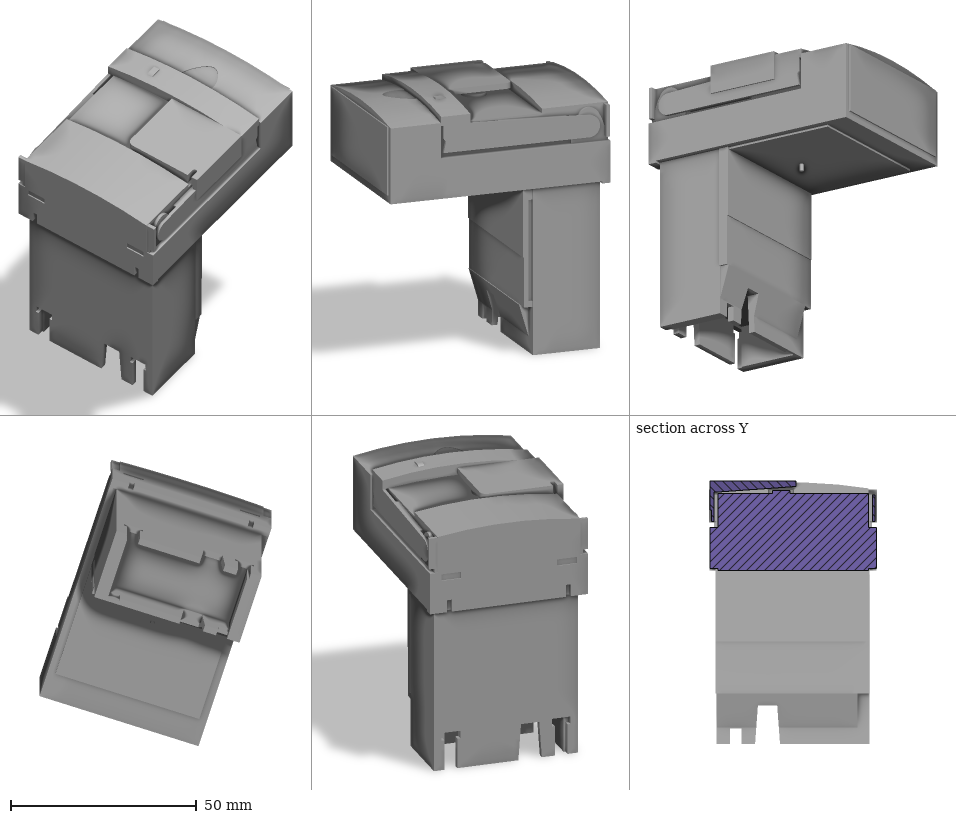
import cadquery as cq
import math


HEAD_HALF_WIDTH = 22.5
HEAD_DEPTH = 63.6
HEAD_BOTTOM = 47.3
LEDGE_Z = 58.5
CORE_HALF_WIDTH = 20.4
DECK_Z = 67.7
REAR_BLOCK_START = 49.1
REAR_EDGE_Z = 68.6
REAR_CROWN_Z = 70.7
CAP_DEPTH = 19.1
CAP_EDGE_Z = 68.9
CAP_CROWN_Z = 70.5

BACK_PLATE_HALF_WIDTH = 21.1
BACK_PLATE_THICKNESS = 0.4
BACK_PLATE_BOTTOM = 49.5
BACK_PLATE_TOP = 68.6

FLOOR_THICKNESS = 0.6
FLOOR_HALF_WIDTH = 20.4
FLOOR_END = 56.3
LIP_DEPTH = 2.4

EAR_OVERHANG = 0.15
EAR_SETBACK = 0.2
EAR_BACK = 1.2
EAR_BOTTOM = 59.7
EAR_FOOT_HALF_WIDTH = 21.2

SLOT_CENTRE_X = 16.505
SLOT_WIDTH = 5.55
SLOT_HEIGHT = 1.9
SLOT_BOTTOM = 56.05
SLOT_DEPTH = 0.35
NICK_CENTRE_X = 17.0
NICK_WIDTH = 1.45
NICK_TOP = 50.2
NICK_DEPTH = 1.45

THUMB_LEFT = -4.6
THUMB_RIGHT = 5.1
THUMB_BULGE_X = 5.4
THUMB_BULGE_Y = 51.35
THUMB_TIP_X = 1.5
THUMB_TIP_Y = 56.55
THUMB_FLANK_X = -2.25
THUMB_FLANK_Y = 54.0
THUMB_DEPTH = 0.2

KNOB_X = 3.25
KNOB_Y = 29.6
KNOB_RADIUS = 3.5
KNOB_HEIGHT = 0.7
PIN_Y = 34.6
PIN_RADIUS = 0.6
PIN_END = 44.8

LEG_HALF_WIDTH = 20.6
LEG_FRONT = 2.4
LEG_BACK = 21.75
CAVITY_HALF_WIDTH = 17.05
CAVITY_HEIGHT = 11.55
LEG_WALL = 1.7
WEDGE_LEFT = -20.45
WEDGE_RIGHT = 20.95
WEDGE_FOOT_LEFT = -17.3
WEDGE_FOOT_RIGHT = 20.45
WEDGE_BACK = 24.5
WEDGE_WAIST = 24.2
WEDGE_STEP_Z = 27.7
WEDGE_KNEE_Z = 13.6
WEDGE_FOOT_Z = 4.4
GROOVE_BACK = 23.0
GROOVE_BOTTOM = 15.2
GROOVE_TOP = 43.7
GROOVE_DEPTH = 0.7

TEE_HALF_SPACING = 15.75
TEE_WIDTH = 5.35
TEE_STEM_WIDTH = 3.7
TEE_TOP = 10.75
TEE_SHOULDER_Z = 8.6
BACK_NOTCH_TOP = 4.1
GATE_CENTRE_X = 6.85
GATE_TOP_WIDTH = 5.2
GATE_FOOT_WIDTH = 6.7
GATE_TOP = 10.4

BOSS_FRONT = 0.8
BOSS_BACK = 11.0
BOSS_FLANK_Y = 1.5
BOSS_FLANK_Z = 63.3
BOSS_NECK_Y = 3.0
BOSS_NECK_Z = 66.5
BOSS_PEAK_Y = 5.7
BOSS_PEAK_Z = 68.1
BOSS_REAR_Y = 8.7
BOSS_REAR_Z = 66.4
ARM_INNER = 21.2

PIVOT_Y = 6.0
PIVOT_Z = 63.05
ARM_RADIUS = 3.1
COVER_HALF_WIDTH = 22.1
BAND_FRONT = 40.4
BAND_BACK = 48.8
BAND_EDGE_Z = 70.2
BAND_CROWN_Z = 72.2
ARCH_CROWN_Z = 69.1
PAD_FRONT = 12.3
PAD_BACK = 31.9
ARM_BACK = 48.1
ARM_NECK = 47.6
ARM_BOTTOM = PIVOT_Z - ARM_RADIUS
ARM_SHOULDER_Z = 67.5
ARM_CATCH_Z = 63.2
CATCH_HEIGHT = 0.7

PLATE_LEFT = -0.8
PLATE_FRONT = 20.0
PLATE_TOP = 71.1
PLATE_EDGE_THICKNESS = 1.65
PLATE_ROOT_Z = 67.9
PLATE_CORNER_RADIUS = 1.9
FLANGE_INNER = 20.7
NOTCH_WIDTH = 1.3
NOTCH_LENGTH = 2.9

SLIDER_X = -10.1
SLIDER_WIDTH = 1.7
SLIDER_FRONT = 42.55
SLIDER_RIDGE = 44.4
SLIDER_BACK = 46.15
SLIDER_TOP = 72.2
SLIDER_BASE = 71.5


def box(x0, x1, y0, y1, z0, z1):
    return cq.Workplane("XY").box(x1 - x0, y1 - y0, z1 - z0, centered=False).translate((x0, y0, z0))


def along_y(sketch, y0, y1):
    """Extrude an XZ outline from y0 to y1."""
    return sketch.extrude(-(y1 - y0)).translate((0, y0, 0))


def along_x(sketch, x0, x1):
    """Extrude a YZ outline from x0 to x1."""
    return sketch.extrude(x1 - x0).translate((x0, 0, 0))


def crowned_block(half_width, y0, y1, z0, edge_z, crown_z):
    outline = (
        cq.Workplane("XZ")
        .moveTo(-half_width, z0)
        .lineTo(half_width, z0)
        .lineTo(half_width, edge_z)
        .threePointArc((0, crown_z), (-half_width, edge_z))
        .close()
    )
    return along_y(outline, y0, y1)


def thumb_recess():
    block = crowned_block(
        HEAD_HALF_WIDTH, REAR_BLOCK_START, HEAD_DEPTH, HEAD_BOTTOM,
        REAR_EDGE_Z - THUMB_DEPTH, REAR_CROWN_Z - THUMB_DEPTH,
    )
    column = (
        cq.Workplane("XY")
        .workplane(offset=LEDGE_Z)
        .moveTo(THUMB_LEFT, REAR_BLOCK_START)
        .spline([
            (THUMB_FLANK_X, THUMB_FLANK_Y),
            (THUMB_TIP_X, THUMB_TIP_Y),
            (THUMB_BULGE_X, THUMB_BULGE_Y),
            (THUMB_RIGHT, REAR_BLOCK_START),
        ], includeCurrent=True)
        .close()
        .extrude(REAR_CROWN_Z - LEDGE_Z)
    )
    return column.cut(block)


def make_ear(side):
    outer = HEAD_HALF_WIDTH + EAR_OVERHANG
    ear = box(CORE_HALF_WIDTH, outer, EAR_SETBACK, EAR_BACK, EAR_BOTTOM, REAR_EDGE_Z)
    foot = box(CORE_HALF_WIDTH, EAR_FOOT_HALF_WIDTH, EAR_SETBACK, EAR_BACK, LEDGE_Z, EAR_BOTTOM)
    ear = ear.union(foot)
    return ear if side > 0 else ear.mirror("YZ")


def make_hinge_boss(side):
    outline = (
        cq.Workplane("YZ")
        .moveTo(BOSS_BACK, LEDGE_Z)
        .lineTo(BOSS_FRONT, LEDGE_Z)
        .threePointArc((BOSS_FLANK_Y, BOSS_FLANK_Z), (BOSS_NECK_Y, BOSS_NECK_Z))
        .threePointArc((BOSS_PEAK_Y, BOSS_PEAK_Z), (BOSS_REAR_Y, BOSS_REAR_Z))
        .lineTo(BOSS_BACK, PIVOT_Z)
        .close()
    )
    boss = along_x(outline, CORE_HALF_WIDTH, ARM_INNER)
    return boss if side > 0 else boss.mirror("YZ")


def make_head():
    head = box(-HEAD_HALF_WIDTH, HEAD_HALF_WIDTH, 0, HEAD_DEPTH, HEAD_BOTTOM, LEDGE_Z)
    head = head.union(box(-CORE_HALF_WIDTH, CORE_HALF_WIDTH, 0, REAR_BLOCK_START, LEDGE_Z, DECK_Z))
    head = head.union(crowned_block(CORE_HALF_WIDTH, 0, CAP_DEPTH, LEDGE_Z, CAP_EDGE_Z, CAP_CROWN_Z))
    head = head.union(crowned_block(
        HEAD_HALF_WIDTH, REAR_BLOCK_START, HEAD_DEPTH, HEAD_BOTTOM, REAR_EDGE_Z, REAR_CROWN_Z,
    ))
    head = head.cut(thumb_recess())

    head = head.union(box(
        -BACK_PLATE_HALF_WIDTH, BACK_PLATE_HALF_WIDTH, HEAD_DEPTH, HEAD_DEPTH + BACK_PLATE_THICKNESS,
        BACK_PLATE_BOTTOM, BACK_PLATE_TOP,
    ))
    floor_z = HEAD_BOTTOM - FLOOR_THICKNESS
    head = head.union(box(-FLOOR_HALF_WIDTH, FLOOR_HALF_WIDTH, 0, FLOOR_END, floor_z, HEAD_BOTTOM))
    head = head.union(box(-HEAD_HALF_WIDTH, HEAD_HALF_WIDTH, 0, LIP_DEPTH, floor_z, HEAD_BOTTOM))

    knob = cq.Workplane("XY").center(KNOB_X, KNOB_Y).circle(KNOB_RADIUS).extrude(KNOB_HEIGHT)
    head = head.union(knob.translate((0, 0, DECK_Z)))
    pin = cq.Workplane("XY").center(0, PIN_Y).circle(PIN_RADIUS).extrude(HEAD_BOTTOM - PIN_END)
    head = head.union(pin.translate((0, 0, PIN_END)))

    for side in (-1, 1):
        head = head.union(make_ear(side)).union(make_hinge_boss(side))
        slot_x = side * SLOT_CENTRE_X
        head = head.cut(box(
            slot_x - SLOT_WIDTH / 2, slot_x + SLOT_WIDTH / 2, 0, SLOT_DEPTH,
            SLOT_BOTTOM, SLOT_BOTTOM + SLOT_HEIGHT,
        ))
        nick_x = side * NICK_CENTRE_X
        head = head.cut(box(
            nick_x - NICK_WIDTH / 2, nick_x + NICK_WIDTH / 2, 0, NICK_DEPTH, floor_z, NICK_TOP,
        ))
    return head


def make_wedge():
    outline = cq.Workplane("YZ").polyline([
        (LEG_BACK, HEAD_BOTTOM),
        (WEDGE_BACK, HEAD_BOTTOM),
        (WEDGE_BACK, WEDGE_STEP_Z),
        (WEDGE_WAIST, WEDGE_STEP_Z),
        (WEDGE_WAIST, WEDGE_KNEE_Z),
        (LEG_BACK, WEDGE_KNEE_Z),
    ]).close()
    wedge = along_x(outline, WEDGE_LEFT, WEDGE_RIGHT)
    foot_outline = cq.Workplane("YZ").polyline([
        (LEG_BACK, WEDGE_KNEE_Z),
        (WEDGE_BACK, WEDGE_KNEE_Z),
        (LEG_BACK, WEDGE_FOOT_Z),
    ]).close()
    wedge = wedge.union(along_x(foot_outline, WEDGE_FOOT_LEFT, WEDGE_FOOT_RIGHT))
    return wedge.cut(box(
        WEDGE_LEFT, WEDGE_LEFT + GROOVE_DEPTH, LEG_BACK, GROOVE_BACK, GROOVE_BOTTOM, GROOVE_TOP,
    ))


def make_leg():
    leg = box(-LEG_HALF_WIDTH, LEG_HALF_WIDTH, LEG_FRONT, LEG_BACK, 0, HEAD_BOTTOM)
    leg = leg.union(make_wedge())

    cavity_front = LEG_FRONT + LEG_WALL
    cavity_back = LEG_BACK - LEG_WALL
    leg = leg.cut(box(
        -CAVITY_HALF_WIDTH, CAVITY_HALF_WIDTH, cavity_front, cavity_back, 0, CAVITY_HEIGHT,
    ))

    stem = TEE_STEM_WIDTH / 2
    for side in (-1, 1):
        x = side * TEE_HALF_SPACING
        leg = leg.cut(box(
            x - TEE_WIDTH / 2, x + TEE_WIDTH / 2, LEG_FRONT, cavity_front, TEE_SHOULDER_Z, TEE_TOP,
        ))
        leg = leg.cut(box(x - stem, x + stem, LEG_FRONT, cavity_front, 0, TEE_SHOULDER_Z))
    back_notch_start = TEE_HALF_SPACING - stem
    leg = leg.cut(box(back_notch_start, CAVITY_HALF_WIDTH, cavity_back, LEG_BACK, 0, BACK_NOTCH_TOP))
    leg = leg.cut(box(
        -CAVITY_HALF_WIDTH, -back_notch_start, cavity_back, cavity_back + LEG_WALL / 2, 0, BACK_NOTCH_TOP,
    ))

    gate = cq.Workplane("XZ").polyline([
        (GATE_CENTRE_X - GATE_FOOT_WIDTH / 2, 0),
        (GATE_CENTRE_X + GATE_FOOT_WIDTH / 2, 0),
        (GATE_CENTRE_X + GATE_TOP_WIDTH / 2, GATE_TOP),
        (GATE_CENTRE_X - GATE_TOP_WIDTH / 2, GATE_TOP),
    ]).close()
    return leg.cut(along_y(gate, LEG_FRONT, WEDGE_BACK))


def make_arm(side):
    """Side arm with a round hinge end, its top edge tangent to that round."""
    reach = math.hypot(BAND_FRONT - PIVOT_Y, ARM_SHOULDER_Z - PIVOT_Z)
    rise = math.atan2(ARM_SHOULDER_Z - PIVOT_Z, BAND_FRONT - PIVOT_Y)
    tangent = rise + math.acos(ARM_RADIUS / reach)
    tangent_y = PIVOT_Y + ARM_RADIUS * math.cos(tangent)
    tangent_z = PIVOT_Z + ARM_RADIUS * math.sin(tangent)
    outline = (
        cq.Workplane("YZ")
        .moveTo(PIVOT_Y, ARM_BOTTOM)
        .lineTo(ARM_BACK, ARM_BOTTOM)
        .lineTo(ARM_NECK, ARM_CATCH_Z - CATCH_HEIGHT)
        .lineTo(ARM_NECK, ARM_CATCH_Z)
        .lineTo(ARM_BACK, ARM_CATCH_Z + CATCH_HEIGHT)
        .lineTo(ARM_BACK, BAND_EDGE_Z)
        .lineTo(BAND_FRONT, BAND_EDGE_Z)
        .lineTo(BAND_FRONT, ARM_SHOULDER_Z)
        .lineTo(tangent_y, tangent_z)
        .threePointArc((PIVOT_Y - ARM_RADIUS, PIVOT_Z), (PIVOT_Y, ARM_BOTTOM))
        .close()
    )
    arm = along_x(outline, CORE_HALF_WIDTH, COVER_HALF_WIDTH)
    for relief_start, relief_end in ((0, PAD_FRONT), (PAD_BACK, ARM_BACK)):
        arm = arm.cut(box(
            CORE_HALF_WIDTH, ARM_INNER, relief_start, relief_end, ARM_BOTTOM, BAND_EDGE_Z,
        ))
    return arm if side > 0 else arm.mirror("YZ")


def make_plate():
    """Raised plate with a sloping underside, a front notch and a flange down to the right arm."""
    outline = cq.Workplane("XZ").polyline([
        (PLATE_LEFT, PLATE_TOP - PLATE_EDGE_THICKNESS),
        (PLATE_LEFT, PLATE_TOP),
        (HEAD_HALF_WIDTH, PLATE_TOP),
        (HEAD_HALF_WIDTH, PLATE_ROOT_Z),
        (FLANGE_INNER, PLATE_ROOT_Z),
    ]).close()
    plate = along_y(outline, PLATE_FRONT, BAND_FRONT)
    plate = plate.edges("|Z and <X and <Y").fillet(PLATE_CORNER_RADIUS)

    radius = NOTCH_WIDTH / 2
    notch_x = FLANGE_INNER - radius
    notch_end = PLATE_FRONT + NOTCH_LENGTH - radius
    height = PLATE_TOP - DECK_Z
    notch = box(FLANGE_INNER - NOTCH_WIDTH, FLANGE_INNER, PLATE_FRONT, notch_end, DECK_Z, PLATE_TOP)
    rounded_end = cq.Workplane("XY").center(notch_x, notch_end).circle(radius).extrude(height)
    plate = plate.cut(notch).cut(rounded_end.translate((0, 0, DECK_Z)))
    return plate.union(box(ARM_INNER, HEAD_HALF_WIDTH, PLATE_FRONT, BAND_FRONT, PIVOT_Z, PLATE_TOP))


def make_slider():
    outline = (
        cq.Workplane("YZ")
        .moveTo(SLIDER_FRONT, SLIDER_BASE)
        .lineTo(SLIDER_BACK, SLIDER_BASE)
        .lineTo(SLIDER_BACK, SLIDER_TOP)
        .lineTo(SLIDER_RIDGE, SLIDER_TOP)
        .tangentArcPoint((SLIDER_FRONT, SLIDER_BASE), relative=False)
        .close()
    )
    return along_x(outline, SLIDER_X - SLIDER_WIDTH / 2, SLIDER_X + SLIDER_WIDTH / 2)


def make_housing():
    return make_head().union(make_leg())


def make_band():
    """Crowned cross band, arched clear of the deck."""
    band = crowned_block(COVER_HALF_WIDTH, BAND_FRONT, BAND_BACK, DECK_Z, BAND_EDGE_Z, BAND_CROWN_Z)
    arch = (
        cq.Workplane("XZ")
        .moveTo(-ARM_INNER, DECK_Z)
        .lineTo(ARM_INNER, DECK_Z)
        .threePointArc((0, ARCH_CROWN_Z), (-ARM_INNER, DECK_Z))
        .close()
    )
    return band.cut(along_y(arch, BAND_FRONT, BAND_BACK))


def make_cover():
    cover = make_band()
    for side in (-1, 1):
        cover = cover.union(make_arm(side))
    return cover.union(make_plate()).union(make_slider())


housing = make_housing()
cover = make_cover()
result = cq.Compound.makeCompound([*housing.solids().vals(), *cover.solids().vals()])